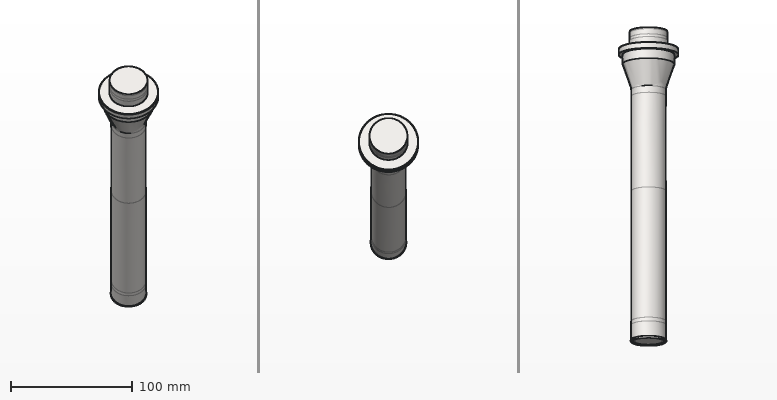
import cadquery as cq

END_DIAMETER = 29.25
TUBE_DIAMETER = 28.95
WAIST_DIAMETER = 28.75
COLLAR_DIAMETER = 43.0
FLANGE_DIAMETER = 49.5
NECK_DIAMETER = 32.0
CAP_DIAMETER = 31.7

RING_SECTION_RADIUS = 1.0
END_TOP = 14.6
TUBE_BOTTOM = 17.8
WAIST_BOTTOM = 128.5
WAIST_TOP = 209.0
FLARE_BOTTOM = 214.6
COLLAR_BOTTOM = 236.1
FLANGE_BOTTOM = 244.1
FLANGE_TOP = 249.3
NECK_TOP = 256.0
CAP_BOTTOM = 258.4
TOTAL_HEIGHT = 263.99

FLANGE_CHAMFER = 0.5
CAP_CHAMFER_HEIGHT = 1.2
CAP_CHAMFER_WIDTH = 0.3

FLARE_BEND_RADIUS = 16.6
FLARE_BEND_HEIGHT = FLARE_BOTTOM + 7.7
FLARE_TOP_SLOPE = 0.33

RING_OVERHANG = 0.3
RING_RADIUS = END_DIAMETER / 2 + RING_OVERHANG - RING_SECTION_RADIUS
BODY_BOTTOM = RING_SECTION_RADIUS


def make_ring():
    """Round-section ring whose lowest point is at Z = 0."""
    section = cq.Workplane("XZ").center(RING_RADIUS, RING_SECTION_RADIUS).circle(RING_SECTION_RADIUS)
    return section.revolve(360, (-RING_RADIUS, 0), (-RING_RADIUS, 1))


def make_body():
    """Turned body, revolved from half of its outline as (radius, height)."""
    end_radius = END_DIAMETER / 2
    tube_radius = TUBE_DIAMETER / 2
    collar_radius = COLLAR_DIAMETER / 2
    flange_radius = FLANGE_DIAMETER / 2
    neck_radius = NECK_DIAMETER / 2
    cap_radius = CAP_DIAMETER / 2
    waist_middle = (WAIST_BOTTOM + WAIST_TOP) / 2
    flare_points = [(FLARE_BEND_RADIUS, FLARE_BEND_HEIGHT), (collar_radius, COLLAR_BOTTOM)]
    flare_end_directions = [(0, 1), (FLARE_TOP_SLOPE, 1)]

    outline = (
        cq.Workplane("XZ")
        .moveTo(0, BODY_BOTTOM)
        .lineTo(end_radius, BODY_BOTTOM)
        .lineTo(end_radius, END_TOP)
        .lineTo(tube_radius, TUBE_BOTTOM)
        .lineTo(tube_radius, WAIST_BOTTOM)
        .threePointArc((WAIST_DIAMETER / 2, waist_middle), (tube_radius, WAIST_TOP))
        .lineTo(tube_radius, FLARE_BOTTOM)
        .spline(flare_points, tangents=flare_end_directions, includeCurrent=True)
        .lineTo(collar_radius, FLANGE_BOTTOM)
        .lineTo(flange_radius, FLANGE_BOTTOM)
        .lineTo(flange_radius, FLANGE_TOP - FLANGE_CHAMFER)
        .lineTo(flange_radius - FLANGE_CHAMFER, FLANGE_TOP)
        .lineTo(neck_radius, FLANGE_TOP)
        .lineTo(neck_radius, NECK_TOP)
        .lineTo(cap_radius, CAP_BOTTOM)
        .lineTo(cap_radius, TOTAL_HEIGHT - CAP_CHAMFER_HEIGHT)
        .lineTo(cap_radius - CAP_CHAMFER_WIDTH, TOTAL_HEIGHT)
        .lineTo(0, TOTAL_HEIGHT)
        .close()
    )
    return outline.revolve(360, (0, 0), (0, 1))


ring = make_ring()
body = make_body().cut(ring)

result = cq.Compound.makeCompound([body.val(), ring.val()])